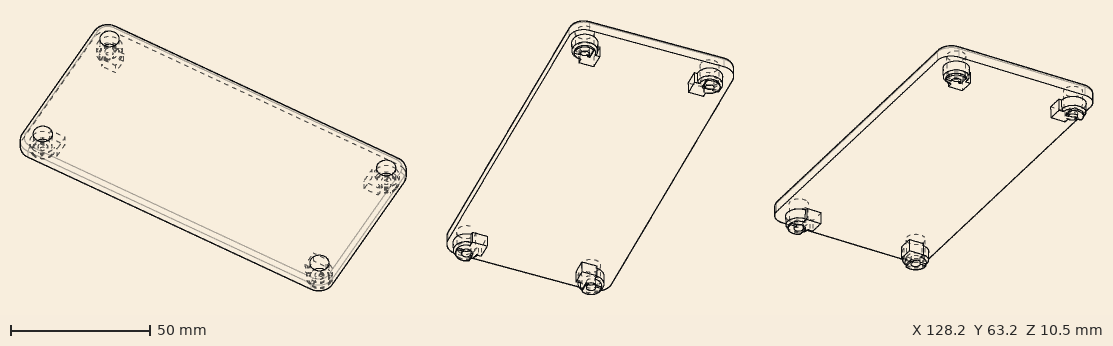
import cadquery as cq
import math

plate_length = 128.2
plate_width = 63.2
plate_thickness = 5.1
corner_radius = 5.6
top_edge_radius = 1.5

screw_x = 57.2
back_row_y = 25.0
front_row_y = -23.2

boss_radius = 4.7
boss_height = 4.6
boss_bevel = 0.9
draft_angle = 1.5
gusset_reach = 5.9

lip_radius = 3.8
lip_height = 0.8
lip_reach_x = 0.9
lip_reach_y = 2.3

screw_hole_radius = 1.7
head_recess_radius = 3.5
head_floor_thickness = 1.9

draft_slope = math.tan(math.radians(draft_angle))


def make_plate():
    block = cq.Workplane("XY").rect(plate_length, plate_width).extrude(plate_thickness)
    rounded = block.edges("|Z").fillet(corner_radius)
    return rounded.faces(">Z").edges().fillet(top_edge_radius)


def make_boss():
    """Boss on the Z axis with its gusset block and lip reaching towards +X and +Y."""
    straight_height = boss_height - boss_bevel
    bevel_top_radius = boss_radius - straight_height * draft_slope
    profile = [
        (0, 0),
        (boss_radius, 0),
        (bevel_top_radius, -straight_height),
        (lip_radius, -boss_height),
        (0, -boss_height),
    ]
    post = cq.Workplane("XZ").polyline(profile).close().revolve(360, (0, 0, 0), (0, 1, 0))

    gusset = (
        cq.Workplane("XY")
        .rect(2 * gusset_reach, 2 * gusset_reach)
        .extrude(-boss_height, taper=draft_angle)
    )
    inner_quarter = (
        cq.Workplane("XY")
        .box(gusset_reach, gusset_reach, boss_height, centered=False)
        .translate((0, 0, -boss_height))
    )

    lip_bottom = -(boss_height + lip_height)
    lip = cq.Workplane("XY", origin=(0, 0, lip_bottom)).circle(lip_radius).extrude(lip_height)
    kept_corner = (
        cq.Workplane("XY")
        .box(lip_radius + lip_reach_x, lip_radius + lip_reach_y, lip_height, centered=False)
        .translate((-lip_radius, -lip_radius, lip_bottom))
    )

    return post.union(gusset.intersect(inner_quarter)).union(lip.intersect(kept_corner))


def make_screw_hole():
    """Through hole with a tapered head recess open at the top of the plate."""
    bottom = -(boss_height + lip_height)
    floor_z = head_floor_thickness - boss_height
    recess_depth = plate_thickness - floor_z
    profile = [
        (0, bottom),
        (screw_hole_radius, bottom),
        (screw_hole_radius, floor_z),
        (head_recess_radius - recess_depth * draft_slope, floor_z),
        (head_recess_radius, plate_thickness),
        (0, plate_thickness),
    ]
    return cq.Workplane("XZ").polyline(profile).close().revolve(360, (0, 0, 0), (0, 1, 0))


left_boss = make_boss()
right_boss = left_boss.mirror("YZ")
screw_hole = make_screw_hole()

result = make_plate()
for row_y in (front_row_y, back_row_y):
    for column_x, boss in ((-screw_x, left_boss), (screw_x, right_boss)):
        if row_y > 0:
            boss = boss.mirror("XZ")
        result = result.union(boss.translate((column_x, row_y, 0)))
        result = result.cut(screw_hole.translate((column_x, row_y, 0)))